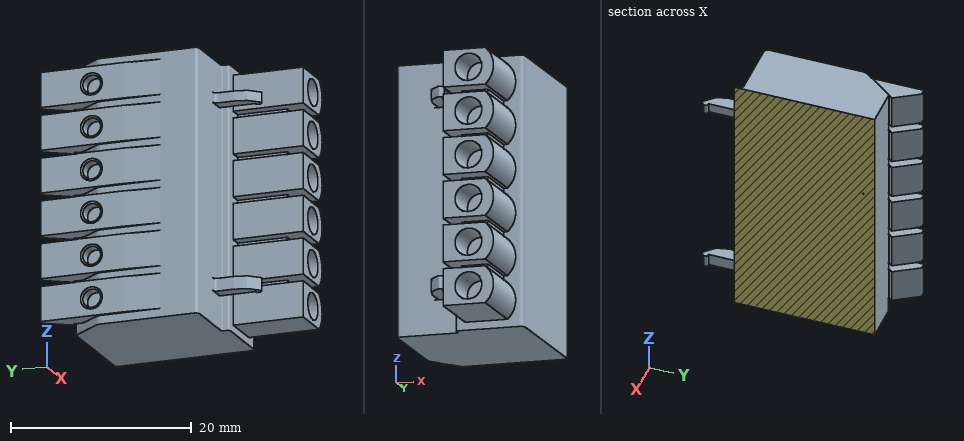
import cadquery as cq


height = 30.88
housing_width = 15.1
housing_depth = 16.58
step_x = 7.2
step_depth = 0.95
bevel_width = 2.85
bevel_depth = 3.7
front_left_radius = 0.52
front_right_radius = 0.55
step_inner_radius = 0.2
step_outer_radius = 0.35
back_radius = 0.25
bevel_radius = 1.1

pole_count = 6
pitch = 4.97

sleeve_height = 4.2
sleeve_length = 8.3
sleeve_left = 8.3
sleeve_flat_length = 4.88
sleeve_width = 5.85
sleeve_bore = 3.1
sleeve_bore_x = 11.25
sleeve_bore_depth = 4.63

web_left = 9.7
web_width = 3.05
web_length = 5.87

lever_height = 4.1
lever_overhang = 0.3
overall_depth = 27.9
lever_back = overall_depth - sleeve_length
lever_tip_radius = 0.25
lever_tip_x = 0.43
lever_nose_x = 2.22
lever_nose_y = 16.68
lever_neck_x = 1.85
lever_neck_y = 16.25
lever_bend_y = 9.65
lever_front_y = 5.5
test_hole_y = 13.5
test_hole_bottom_diameter = 2.1
test_hole_diameter = 2.55
test_hole_rim = 0.12
test_hole_depth = 1.55

latch_left = 4.95
latch_right = 6.65
latch_root_radius = 0.45
latch_bend_y = -1.42
latch_heel_x = 5.28
latch_heel_y = -2.87
latch_tip_x = 6.55
latch_tip_y = -4.17
latch_barb_x = 7.0
latch_barb_y = -3.27
latch_heel_radius = 0.28
latch_tip_radius = 0.25
latch_barb_radius = 0.15
latch_inset = 3.92
upper_latch_height = 1.17
lower_latch_height = 1.48

bottom = -height / 2
embed = 0.62

first_sleeve_z = -(pole_count - 1) * pitch / 2
sleeve_levels = [first_sleeve_z + i * pitch for i in range(pole_count)]
lever_shift = (sleeve_height - lever_height) / 2


def extrude_up(outline, z, thickness):
    """Extrude a closed XY outline upward from height z."""
    return outline.extrude(thickness).translate((0, 0, z))


def round_upright_edge(solid, x, y, radius):
    """Round the upright edge nearest to the point (x, y)."""
    return solid.edges("|Z").edges(cq.selectors.NearestToPointSelector((x, y, 0))).fillet(radius)


def make_housing():
    outline = (
        cq.Workplane("XY")
        .moveTo(0, step_depth)
        .lineTo(step_x, step_depth)
        .lineTo(step_x, 0)
        .lineTo(housing_width, 0)
        .lineTo(housing_width, housing_depth)
        .lineTo(bevel_width, housing_depth)
        .lineTo(0, housing_depth - bevel_depth)
        .close()
    )
    housing = extrude_up(outline, bottom, height)
    corners = [
        (0, step_depth, front_left_radius),
        (step_x, step_depth, step_inner_radius),
        (step_x, 0, step_outer_radius),
        (housing_width, 0, front_right_radius),
        (housing_width, housing_depth, back_radius),
        (bevel_width, housing_depth, back_radius),
        (0, housing_depth - bevel_depth, bevel_radius),
    ]
    for x, y, radius in corners:
        housing = round_upright_edge(housing, x, y, radius)
    return housing


def make_sleeve(z):
    """Sleeve with a flat left side and a bowed right side, centred on height z."""
    half = sleeve_height / 2
    arc_start = sleeve_left + sleeve_flat_length
    return (
        cq.Workplane("XZ", origin=(0, embed, z))
        .moveTo(sleeve_left, -half)
        .lineTo(arc_start, -half)
        .threePointArc((sleeve_left + sleeve_width, 0), (arc_start, half))
        .lineTo(sleeve_left, half)
        .close()
        .extrude(sleeve_length + embed)
    )


def make_sleeve_bore(z):
    return (
        cq.Workplane("XZ", origin=(sleeve_bore_x, -sleeve_length, z))
        .circle(sleeve_bore / 2)
        .extrude(-sleeve_bore_depth)
    )


def make_webs():
    """One wall joining all sleeves, showing only in the gaps between them."""
    length = web_length + embed
    span = (pole_count - 1) * pitch
    wall = cq.Workplane("XY").box(web_width, length, span, centered=(False, False, True))
    return wall.translate((web_left, -web_length, 0))


def make_lever(z):
    outline = (
        cq.Workplane("XY")
        .moveTo(0, lever_front_y)
        .lineTo(-lever_overhang, lever_bend_y)
        .lineTo(-lever_overhang, lever_back)
        .lineTo(lever_tip_x, lever_back)
        .lineTo(lever_nose_x, lever_nose_y)
        .lineTo(lever_neck_x, lever_neck_y)
        .lineTo(lever_neck_x, lever_front_y)
        .close()
    )
    lever = extrude_up(outline, z - lever_height / 2, lever_height)
    for x in (-lever_overhang, lever_tip_x):
        lever = round_upright_edge(lever, x, lever_back, lever_tip_radius)
    return lever


def make_test_hole(z):
    """Blind round hole with a bevelled rim, entering the lever along +X."""
    mouth = cq.Workplane("YZ", origin=(-lever_overhang, test_hole_y, z))
    bore = mouth.circle(test_hole_bottom_diameter / 2).extrude(test_hole_depth)
    rim = (
        mouth.circle(test_hole_diameter / 2)
        .workplane(offset=test_hole_rim)
        .circle(test_hole_bottom_diameter / 2)
        .loft()
    )
    return bore.union(rim)


def make_latch(z, thickness):
    """Hook with its lower face at height z, flared where it leaves the housing."""
    outline = (
        cq.Workplane("XY")
        .moveTo(latch_right, step_depth + embed)
        .lineTo(latch_left - latch_root_radius, step_depth + embed)
        .lineTo(latch_left - latch_root_radius, step_depth)
        .radiusArc((latch_left, step_depth - latch_root_radius), latch_root_radius)
        .lineTo(latch_left, latch_bend_y)
        .lineTo(latch_heel_x, latch_heel_y)
        .lineTo(latch_tip_x, latch_tip_y)
        .lineTo(latch_barb_x, latch_tip_y + latch_barb_x - latch_tip_x)
        .lineTo(latch_barb_x, latch_barb_y)
        .lineTo(latch_right, latch_barb_y)
        .close()
    )
    latch = extrude_up(outline, z, thickness)
    corners = [
        (latch_heel_x, latch_heel_y, latch_heel_radius),
        (latch_tip_x, latch_tip_y, latch_tip_radius),
        (latch_barb_x, latch_barb_y, latch_barb_radius),
    ]
    for x, y, radius in corners:
        latch = round_upright_edge(latch, x, y, radius)
    return latch


result = make_housing().union(make_webs())
for level in sleeve_levels:
    result = result.union(make_sleeve(level))
    result = result.union(make_lever(level + lever_shift))
for level in sleeve_levels:
    result = result.cut(make_sleeve_bore(level))
    result = result.cut(make_test_hole(level + lever_shift))
result = result.union(make_latch(bottom + latch_inset, lower_latch_height))
result = result.union(make_latch(-bottom - latch_inset - upper_latch_height, upper_latch_height))